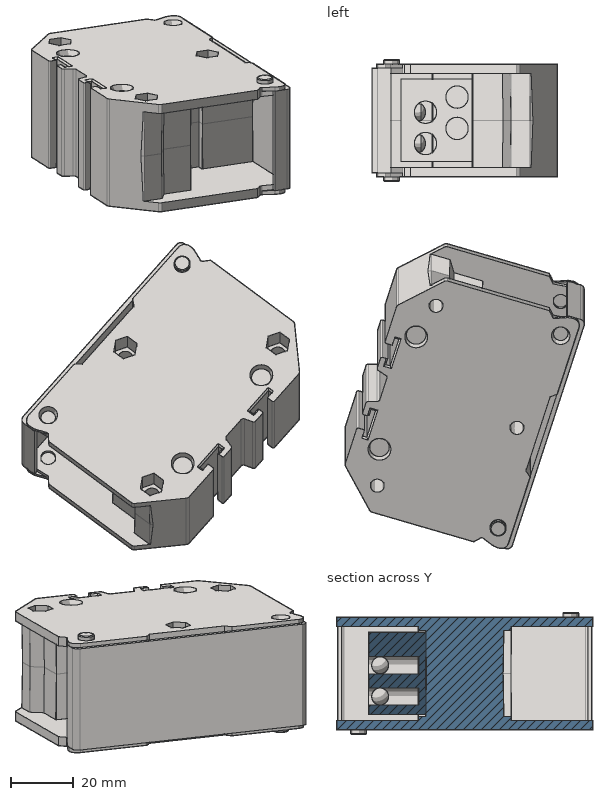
import cadquery as cq
import math

HALF_WIDTH = 41.0
HALF_DEPTH = 29.7
HALF_HEIGHT = 18.0
DRAFT = 1.0

COVER_SEAT_Y = 28.2
SIDE_TOP_Y = 17.4
SIDE_BOTTOM_Y = -17.2
FOOT_X = 28.3
FOOT_CORNER_RADIUS = 1.5
GRIP_NOTCH_X = 38.95
GRIP_NOTCH_Y = (19.3, 19.85)
EAR_X = 41.0
EAR_LOW_X = 40.5
EAR_LOW_Y = 23.8
EAR_RADIUS = 2.6

FLANGE_INNER_Z = 15.0
LOWER_WALL_X = 36.8
UPPER_WALL_X = 33.0
SLOPE_Y = (-14.8, -12.2)
LEDGE_Y = -2.6
LOWER_WALL_END_Y = -20.8
LOWER_WALL_BEVEL = (0.4, 0.8)
BEVEL_RUNS = 3
CORE_X = 14.8
CORE_STEP_X = 12.3
CORE_STEP_Y = 10.4

WINDOW_BOTTOM_Y = 26.2
WINDOW_BOTTOM_X = 13.1

FOOT_STEP_Y = -29.4
RAIL_NECK_X = (10.2, 15.0)
RAIL_HEAD_X = (7.95, 17.4)
RAIL_HEAD_Y = (-27.15, -25.7)
RAIL_HEAD_BEVEL = 0.6
NECK_OUTER_RADIUS = 0.6
NECK_INNER_RADIUS = 0.5
GROOVE_TOP_Y = -25.5
GROOVE_TOP_X = 4.4
GROOVE_BOTTOM_X = 5.65
GROOVE_RADIUS = 1.0
GROOVE_EDGE_RADIUS = 0.8

SCREW_POINTS = [(0, 19.2), (-31.9, -17.7), (31.9, -17.7)]
NUT_ACROSS_FLATS = 6.9
NUT_POCKET_DEPTH = 8.2
SCREW_HOLE_WIDE = 4.9
SCREW_HOLE_NARROW = 4.4

PEG_X = 33.95
PEG_Y = 23.4
PEG_DIAMETER = 5.2
PEG_HEIGHT = 1.5
PEG_CHAMFER = 0.3
PEG_RECESS_DIAMETER = 4.75
PEG_RECESS_DEPTH = 1.2
SOCKET_MOUTH = 5.9
SOCKET_FLOOR = 4.6
FOOT_SOCKET_X = 19.9
FOOT_SOCKET_Y = -20.7
FOOT_SOCKET_MOUTH = 7.3
FOOT_SOCKET_FLOOR = 6.2
SOCKET_DEPTH = 2.0

COVER_HALF_WIDTH = 40.7
COVER_HALF_HEIGHT = 16.7
COVER_LIP_THICKNESS = 1.3
COVER_LIP_END_Y = 23.6
COVER_OUTER_RADIUS = 1.8
COVER_INNER_RADIUS = 0.7

BLOCK_FACE_X = -30.75
BLOCK_TOP_Y = 20.4
BLOCK_HALF_HEIGHT = 13.2
WIRE_HOLE_DIAMETER = 7.1
WIRE_HOLE_PITCH = 10.0
UPPER_ROW_Y = 12.55
UPPER_ROW_Z = 2.6
LOWER_ROW_Y = 2.5
LOWER_ROW_Z = 7.5
CLAMP_SCREW_X = -27.1
CLAMP_SCREW_DIAMETER = 5.4
CLAMP_TIP_HEIGHT = 1.4
CLAMP_ROOT_DEPTH = 0.4

OVERSHOOT = 4.1



def mirror_points(points):
    """Continue an outline of the +x side, listed from its start, back along the -x side."""
    return points + [(-x, y) for x, y in reversed(points)]


def prism(points, half_height):
    return cq.Workplane("XY").polyline(points).close().extrude(half_height, both=True)


def tapered_hole(x, y, z_mouth, mouth, floor, depth):
    """Round tool that narrows downwards from z_mouth; a negative depth narrows upwards."""
    start = cq.Vector(x, y, z_mouth)
    direction = cq.Vector(0, 0, -math.copysign(1, depth))
    return cq.Workplane(cq.Solid.makeCone(mouth / 2, floor / 2, abs(depth), start, direction))




def housing_blank():
    right_side = [
        (FOOT_X, -HALF_DEPTH),
        (HALF_WIDTH, SIDE_BOTTOM_Y),
        (HALF_WIDTH, SIDE_TOP_Y),
        (GRIP_NOTCH_X, GRIP_NOTCH_Y[0]),
        (GRIP_NOTCH_X, GRIP_NOTCH_Y[1]),
        (EAR_LOW_X, EAR_LOW_Y),
        (EAR_X, COVER_SEAT_Y),
    ]
    blank = prism(mirror_points(right_side), HALF_HEIGHT)
    for sign in (-1, 1):
        for x, y, radius in (
            (EAR_X, COVER_SEAT_Y, EAR_RADIUS),
            (HALF_WIDTH, SIDE_BOTTOM_Y, FOOT_CORNER_RADIUS),
            (FOOT_X, -HALF_DEPTH, FOOT_CORNER_RADIUS),
        ):
            corner = cq.selectors.NearestToPointSelector((sign * x, y, 0))
            blank = blank.edges("|Z").edges(corner).fillet(radius)
    return blank


def recess(sign):
    """Drafted terminal recess between the flanges, widest at the mid-plane."""
    outside_x = HALF_WIDTH + OVERSHOOT
    outside_y = HALF_DEPTH + OVERSHOOT
    bevel_x = LOWER_WALL_X - BEVEL_RUNS * LOWER_WALL_BEVEL[0]
    bevel_y = LOWER_WALL_END_Y - BEVEL_RUNS * LOWER_WALL_BEVEL[1]
    outline = [
        (outside_x, bevel_y),
        (bevel_x, bevel_y),
        (LOWER_WALL_X, LOWER_WALL_END_Y),
        (LOWER_WALL_X, SLOPE_Y[0]),
        (UPPER_WALL_X, SLOPE_Y[1]),
        (UPPER_WALL_X, LEDGE_Y),
        (CORE_STEP_X, LEDGE_Y),
        (CORE_STEP_X, CORE_STEP_Y),
        (CORE_X, CORE_STEP_Y),
        (CORE_X, outside_y),
        (outside_x, outside_y),
    ]
    points = [(sign * x, y) for x, y in outline]
    half = cq.Workplane("XY").polyline(points).close().extrude(FLANGE_INNER_Z, taper=DRAFT)
    return half.union(half.mirror("XY"))


def cover_rebate(sign):
    """Step in the flange edges that makes room for a cover lip."""
    inner_x = COVER_HALF_WIDTH - COVER_LIP_THICKNESS
    outside_x = HALF_WIDTH + OVERSHOOT
    outline = [
        (GRIP_NOTCH_X, GRIP_NOTCH_Y[1]),
        (inner_x, COVER_LIP_END_Y),
        (inner_x, HALF_DEPTH),
        (outside_x, HALF_DEPTH),
        (outside_x, GRIP_NOTCH_Y[1]),
    ]
    return prism([(sign * x, y) for x, y in outline], COVER_HALF_HEIGHT)


def window():
    right_side = [(WINDOW_BOTTOM_X, WINDOW_BOTTOM_Y), (CORE_X, COVER_SEAT_Y)]
    return prism(mirror_points(right_side), HALF_HEIGHT)


def rail_slot(sign):
    """T-slot for the mounting rail, its head bevelled at both large faces except at the outer ledge."""
    neck_outline = [
        (RAIL_NECK_X[0], -HALF_DEPTH),
        (RAIL_NECK_X[0], RAIL_HEAD_Y[1]),
        (RAIL_NECK_X[1], RAIL_HEAD_Y[1]),
        (RAIL_NECK_X[1], -HALF_DEPTH),
    ]
    slot = prism([(sign * x, y) for x, y in neck_outline], HALF_HEIGHT)
    head_width = RAIL_HEAD_X[1] - RAIL_HEAD_X[0]
    head_height = RAIL_HEAD_Y[1] - RAIL_HEAD_Y[0]
    head_x = sign * sum(RAIL_HEAD_X) / 2
    head_y = sum(RAIL_HEAD_Y) / 2
    head = cq.Workplane("XY").center(head_x, head_y).rect(head_width, head_height)
    slot = slot.union(head.extrude(HALF_HEIGHT, both=True))
    bevel = (
        cq.Workplane("XY", origin=(head_x, head_y, HALF_HEIGHT))
        .rect(head_width + 2 * RAIL_HEAD_BEVEL, head_height + 2 * RAIL_HEAD_BEVEL)
        .workplane(offset=-RAIL_HEAD_BEVEL)
        .rect(head_width, head_height)
        .loft(ruled=True)
    )
    ledge_x = sign * (RAIL_NECK_X[1] + OVERSHOOT / 2)
    ledge_y = RAIL_HEAD_Y[0] - OVERSHOOT / 2
    outer_ledge = cq.Workplane("XY").center(ledge_x, ledge_y).rect(OVERSHOOT, OVERSHOOT).extrude(HALF_HEIGHT)
    bevel = bevel.cut(outer_ledge)
    return slot.union(bevel).union(bevel.mirror("XY"))


def round_foot_edges(body):
    """Round the edges of the foot at the slot necks and at the central groove."""
    for sign in (-1, 1):
        for x, y, radius in (
            (RAIL_NECK_X[1], -HALF_DEPTH, NECK_OUTER_RADIUS),
            (RAIL_NECK_X[0], FOOT_STEP_Y, NECK_INNER_RADIUS),
            (GROOVE_BOTTOM_X, FOOT_STEP_Y, GROOVE_EDGE_RADIUS),
        ):
            edge = cq.selectors.NearestToPointSelector((sign * x, y, 0))
            body = body.edges("|Z").edges(edge).fillet(radius)
    return body


def foot_middle():
    """Stand-back of the foot between the rail slots, with the central groove."""
    step = (
        cq.Workplane("XY")
        .rect(2 * RAIL_NECK_X[0], 2 * (HALF_DEPTH + FOOT_STEP_Y))
        .extrude(HALF_HEIGHT, both=True)
        .translate((0, -HALF_DEPTH, 0))
    )
    groove_side = [(GROOVE_BOTTOM_X, FOOT_STEP_Y), (GROOVE_TOP_X, GROOVE_TOP_Y)]
    groove = prism(mirror_points(groove_side), HALF_HEIGHT)
    groove = groove.faces(">Y").edges("|Z").fillet(GROOVE_RADIUS)
    return step.union(groove)


def screw_hole(x, y):
    """Tapered through hole with a hexagonal nut pocket in the upper face."""
    hole = tapered_hole(x, y, HALF_HEIGHT, SCREW_HOLE_WIDE, SCREW_HOLE_NARROW, 2 * HALF_HEIGHT)
    nut_corners = NUT_ACROSS_FLATS / math.cos(math.pi / 6)
    nut = (
        cq.Workplane("XY", origin=(x, y, HALF_HEIGHT))
        .transformed(rotate=(0, 0, 90))
        .polygon(6, nut_corners)
        .extrude(-NUT_POCKET_DEPTH)
    )
    return hole.union(nut)


def peg(sign):
    """Peg on the upper face at +x (sign 1) or on the lower face at -x (sign -1)."""
    upright = (
        cq.Workplane("XY", origin=(PEG_X, PEG_Y, HALF_HEIGHT))
        .circle(PEG_DIAMETER / 2)
        .extrude(PEG_HEIGHT)
        .faces(">Z")
        .chamfer(PEG_CHAMFER)
    )
    return upright if sign > 0 else upright.rotate((0, 0, 0), (0, 1, 0), 180)


def peg_recess(sign):
    """Blind hole in the flange behind a peg, open to the recess."""
    hole = cq.Workplane("XY", origin=(sign * PEG_X, PEG_Y, sign * FLANGE_INNER_Z))
    return hole.circle(PEG_RECESS_DIAMETER / 2).extrude(sign * PEG_RECESS_DEPTH)


def sockets(sign):
    """Shallow sockets in the upper (sign 1) or the lower (sign -1) face."""
    z = sign * HALF_HEIGHT
    depth = sign * SOCKET_DEPTH
    tools = tapered_hole(-sign * PEG_X, PEG_Y, z, SOCKET_MOUTH, SOCKET_FLOOR, depth)
    for x in (-FOOT_SOCKET_X, FOOT_SOCKET_X):
        tools = tools.union(
            tapered_hole(x, FOOT_SOCKET_Y, z, FOOT_SOCKET_MOUTH, FOOT_SOCKET_FLOOR, depth)
        )
    return tools


def make_housing(cover_body):
    body = housing_blank().cut(window()).cut(foot_middle())
    for sign in (-1, 1):
        body = body.cut(recess(sign)).cut(cover_rebate(sign)).cut(rail_slot(sign))
    body = round_foot_edges(body)
    for sign in (-1, 1):
        body = body.cut(sockets(sign)).cut(peg_recess(sign)).union(peg(sign))
    for x, y in SCREW_POINTS:
        body = body.cut(screw_hole(x, y))
    return body.cut(cover_body)




def make_cover():
    """Flat plate along the +y edge of the housing, with a lip along each end."""
    inner_x = COVER_HALF_WIDTH - COVER_LIP_THICKNESS
    right_side = [
        (inner_x, COVER_SEAT_Y),
        (inner_x, COVER_LIP_END_Y),
        (COVER_HALF_WIDTH, COVER_LIP_END_Y),
        (COVER_HALF_WIDTH, HALF_DEPTH),
    ]
    cover = prism(mirror_points(right_side), COVER_HALF_HEIGHT)
    for sign in (-1, 1):
        outer = cq.selectors.NearestToPointSelector((sign * COVER_HALF_WIDTH, HALF_DEPTH, 0))
        cover = cover.edges("|Z").edges(outer).fillet(COVER_OUTER_RADIUS)
        inner = cq.selectors.NearestToPointSelector((sign * inner_x, COVER_SEAT_Y, 0))
        cover = cover.edges("|Z").edges(inner).fillet(COVER_INNER_RADIUS)
    return cover




def make_terminal_block():
    """Block in the -x recess, resting on its ledge and against the core."""
    draft_shift = BLOCK_HALF_HEIGHT * math.tan(math.radians(DRAFT))
    back_x = -CORE_X - draft_shift
    bottom_y = LEDGE_Y + draft_shift
    block = (
        cq.Workplane("XY")
        .box(
            back_x - BLOCK_FACE_X,
            BLOCK_TOP_Y - bottom_y,
            2 * BLOCK_HALF_HEIGHT,
            centered=(False, False, True),
        )
        .translate((BLOCK_FACE_X, bottom_y, 0))
    )
    foot = (
        cq.Workplane("XY")
        .box(CORE_X - CORE_STEP_X, CORE_STEP_Y - LEDGE_Y - 2 * draft_shift, 2 * BLOCK_HALF_HEIGHT)
        .translate((-(CORE_X + CORE_STEP_X) / 2 - draft_shift, (CORE_STEP_Y + LEDGE_Y) / 2, 0))
    )
    block = block.union(foot)
    for column in range(2):
        drop = column * WIRE_HOLE_PITCH
        upper_z = UPPER_ROW_Z - drop
        block = block.cut(wire_hole(UPPER_ROW_Y, upper_z)).union(clamp_screw(upper_z))
        block = block.cut(wire_hole(LOWER_ROW_Y, LOWER_ROW_Z - drop))
    return block


def wire_hole(y, z):
    """Wire hole as deep as the upper part of the block, so the upper row partly opens at its back."""
    hole = cq.Workplane("YZ", origin=(BLOCK_FACE_X, y, z)).circle(WIRE_HOLE_DIAMETER / 2)
    return hole.extrude(-CORE_X - BLOCK_FACE_X)


def clamp_screw(z):
    """Round-ended screw tip that hangs from the top of a wire hole down to its axis."""
    radius = CLAMP_SCREW_DIAMETER / 2
    shoulder_y = UPPER_ROW_Y + CLAMP_TIP_HEIGHT
    root_y = UPPER_ROW_Y + WIRE_HOLE_DIAMETER / 2 + CLAMP_ROOT_DEPTH
    tip_radius = (radius**2 + CLAMP_TIP_HEIGHT**2) / (2 * CLAMP_TIP_HEIGHT)
    half_angle = math.asin(radius / tip_radius) / 2
    arc_middle = (
        tip_radius * math.sin(half_angle),
        UPPER_ROW_Y + tip_radius * (1 - math.cos(half_angle)),
    )
    profile = (
        cq.Workplane("XY")
        .moveTo(0, UPPER_ROW_Y)
        .threePointArc(arc_middle, (radius, shoulder_y))
        .lineTo(radius, root_y)
        .lineTo(0, root_y)
        .close()
    )
    return profile.revolve(360, (0, 0, 0), (0, 1, 0)).translate((CLAMP_SCREW_X, 0, z))


cover = make_cover()
housing = make_housing(cover)
terminal_block = make_terminal_block()

result = cq.Compound.makeCompound([housing.val(), cover.val(), terminal_block.val()])